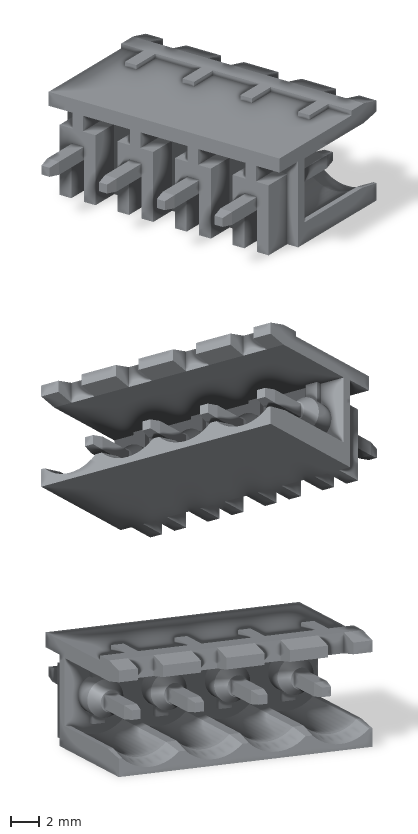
import cadquery as cq


pole_count = 4
pole_pitch = 5.0
length = pole_count * pole_pitch
depth = 12.1
height = 8.2
plate_top = 7.82
plate_underside = 6.65
floor_top = 1.65
wall_front = 3.1
web_back = 2.32

plate_lip_length = 1.6
plate_lip_underside = 6.95
floor_lip_length = 1.8
floor_lip_top = 1.35
notch_width = 2.0

band_back = depth - 3.1
band_rib_width = 1.0
band_rib_length = 2.38

block_width = 3.12
block_shoulder = 5.48
neck_width = 0.9
neck_top = 6.72
pin_slot_width = 1.08
pin_slot_top = 4.35

pin_axis = 3.75
pin_width = 1.02
pin_tip_width = 0.7
pin_taper = 0.95
pin_back = -4.0
pin_front = 9.75
boss_radius = 1.42
boss_tip_radius = 0.8
boss_shoulder = 4.65
boss_front = 5.55
wall_rib_front = 3.55
wall_rib_width = 1.0
socket_radius = 2.95
socket_mouth_radius = 3.28

pole_centers = [(i + 0.5) * pole_pitch for i in range(pole_count)]


def box(x_range, y_range, z_range):
    """Block between the given limits on each axis."""
    size = [end - start for start, end in (x_range, y_range, z_range)]
    corner = (x_range[0], y_range[0], z_range[0])
    return cq.Workplane("XY").box(*size, centered=False).translate(corner)


def centered_box(center, width, y_range, z_range):
    """Block of the given width, centred on a pole along X."""
    return box((center - width / 2, center + width / 2), y_range, z_range)


def turned(center, profile):
    """Solid turned about a pin axis from (radius, y) points."""
    return (
        cq.Workplane("XY")
        .polyline(profile)
        .close()
        .revolve(360, (0, 0, 0), (0, 1, 0))
        .translate((center, 0, pin_axis))
    )


def housing():
    """C-shaped section swept along the row, with bevelled mating lips."""
    outline = [
        (web_back, 0),
        (depth, 0),
        (depth, floor_lip_top),
        (depth - floor_lip_length, floor_top),
        (wall_front, floor_top),
        (wall_front, plate_underside),
        (depth - plate_lip_length, plate_underside),
        (depth, plate_lip_underside),
        (depth, plate_top),
        (depth - plate_lip_length, height),
        (band_back, height),
        (band_back, plate_top),
        (0, plate_top),
        (0, neck_top),
        (web_back, neck_top),
    ]
    return cq.Workplane("YZ").polyline(outline).close().extrude(length)


def band_rib(center):
    """Short finger running back from the raised band."""
    y_range = (band_back - band_rib_length, band_back)
    return centered_box(center, band_rib_width, y_range, (plate_top, height))


def pole_block(center):
    """Block behind the wall: a wide foot with a neck up to the plate."""
    y_range = (0, web_back)
    foot = centered_box(center, block_width, y_range, (0, block_shoulder))
    neck = centered_box(center, neck_width, y_range, (block_shoulder, neck_top))
    slot = centered_box(center, pin_slot_width, y_range, (0, pin_slot_top))
    return foot.union(neck).cut(slot)


def lip_notch(center):
    """Rectangular notch through the lip of the upper plate."""
    y_range = (depth - plate_lip_length, depth)
    return centered_box(center, notch_width, y_range, (plate_underside, height))


def floor_socket(center):
    """Round trough in the floor, flared at its mouth."""
    profile = [
        (0, wall_front),
        (socket_radius, wall_front),
        (socket_radius, depth - floor_lip_length),
        (socket_mouth_radius, depth),
        (0, depth),
    ]
    lower_half = box((0, length), (wall_front, depth), (0, pin_axis))
    return turned(center, profile).intersect(lower_half)


def boss(center):
    """Cylinder with a conical nose around the pin."""
    profile = [
        (0, web_back),
        (boss_radius, web_back),
        (boss_radius, boss_shoulder),
        (boss_tip_radius, boss_front),
        (0, boss_front),
    ]
    return turned(center, profile)


def wall_rib(center):
    """Low upright rib on the cavity wall, crossing behind the boss."""
    return centered_box(center, wall_rib_width, (web_back, wall_rib_front), (floor_top, plate_underside))


def pin_taper_end(root, tip):
    """Tapered end of a pin, on the Y axis, from its root to its tip."""
    root_plane = cq.Plane(origin=(0, root, 0), xDir=(1, 0, 0), normal=(0, tip - root, 0))
    return (
        cq.Workplane(root_plane)
        .rect(pin_width, pin_width)
        .workplane(offset=abs(tip - root))
        .rect(pin_tip_width, pin_tip_width)
        .loft(ruled=True)
    )


def pin(center):
    """Square pin tapered at both ends."""
    back_root = pin_back + pin_taper
    front_root = pin_front - pin_taper
    half = pin_width / 2
    body = box((-half, half), (back_root, front_root), (-half, half))
    body = body.union(pin_taper_end(back_root, pin_back))
    body = body.union(pin_taper_end(front_root, pin_front))
    return body.translate((center, 0, pin_axis))


result = housing()
for pole_center in pole_centers:
    result = result.cut(lip_notch(pole_center))
    result = result.cut(floor_socket(pole_center))
    for feature in (band_rib, pole_block, wall_rib, boss, pin):
        result = result.union(feature(pole_center))